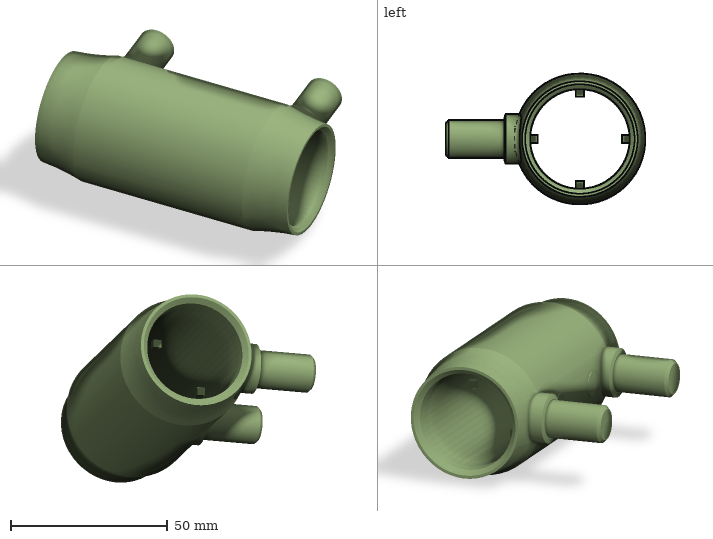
import cadquery as cq
import math

length = 89.0
body_radius = 21.0
end_radius = 18.5
lip_radius = 17.5
bore_radius = 15.9
bevel_depth = 1.6
end_length = 14.7
end_sag = 0.4

terminal_reach = 43.0
terminal_radius = 6.1
terminal_tip_chamfer = 1.1
collar_radius = 8.0
collar_top = 24.3
collar_bevel_height = 0.5
collar_bevel_width = 1.5
terminal_offset = 29.6

stop_width = 2.7
stop_inner_radius = 13.4
stop_count = 4

indicator_radius = 4.0
indicator_height = 0.1
indicator_offset = 13.8

half_length = length / 2
shoulder = half_length - end_length
wall_middle_radius = (bore_radius + end_radius) / 2


def concave_midpoint(side):
    """Point halfway along an end's profile, pulled toward the axis by the sag."""
    rise = body_radius - end_radius
    chord = math.hypot(end_length, rise)
    x = half_length - end_length / 2 - end_sag * rise / chord
    radius = end_radius + rise / 2 - end_sag * end_length / chord
    return (side * x, radius)


def make_sleeve():
    """Revolve the wall section about X."""
    section = (
        cq.Workplane("XY")
        .moveTo(-half_length, end_radius)
        .threePointArc(concave_midpoint(-1), (-shoulder, body_radius))
        .lineTo(shoulder, body_radius)
        .threePointArc(concave_midpoint(1), (half_length, end_radius))
        .lineTo(half_length, lip_radius)
        .lineTo(half_length - bevel_depth, bore_radius)
        .lineTo(bevel_depth - half_length, bore_radius)
        .lineTo(-half_length, lip_radius)
        .close()
    )
    return section.revolve(360, (0, 0, 0), (1, 0, 0))


def make_terminal(x):
    """Revolve a pin with a bevelled collar about a line parallel to Y."""
    profile = (
        cq.Workplane("XY")
        .moveTo(0, wall_middle_radius)
        .lineTo(collar_radius, wall_middle_radius)
        .lineTo(collar_radius, collar_top - collar_bevel_height)
        .lineTo(collar_radius - collar_bevel_width, collar_top)
        .lineTo(terminal_radius, collar_top)
        .lineTo(terminal_radius, terminal_reach - terminal_tip_chamfer)
        .lineTo(terminal_radius - terminal_tip_chamfer, terminal_reach)
        .lineTo(0, terminal_reach)
        .close()
    )
    return profile.revolve(360, (0, 0, 0), (0, 1, 0)).translate((x, 0, 0))


def make_stop(angle):
    """Peg that starts inside the wall and points at the axis."""
    depth = wall_middle_radius - stop_inner_radius
    peg = cq.Workplane("XY").box(stop_width, depth, stop_width)
    peg = peg.translate((0, stop_inner_radius + depth / 2, 0))
    return peg.rotate((0, 0, 0), (1, 0, 0), angle)


def make_indicator(x):
    """Button along Y that starts inside the wall and ends just above the crown."""
    return (
        cq.Workplane("XZ", origin=(x, wall_middle_radius, 0))
        .circle(indicator_radius)
        .extrude(wall_middle_radius - body_radius - indicator_height)
    )


result = make_sleeve()
for side in (-1, 1):
    result = result.union(make_terminal(side * terminal_offset))
    result = result.union(make_indicator(side * indicator_offset))
for index in range(stop_count):
    result = result.union(make_stop(index * 360 / stop_count))